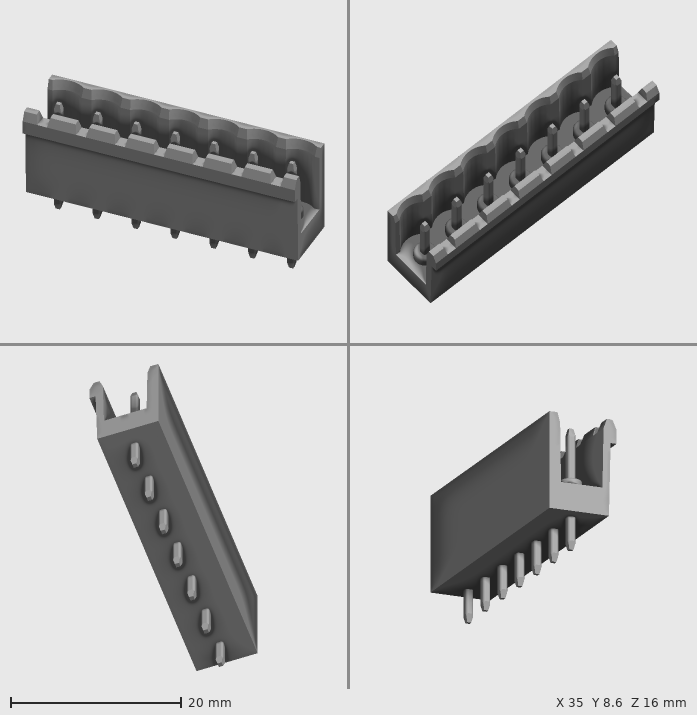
import cadquery as cq

contact_count = 7
length = 35.0
pitch = length / contact_count
contact_positions = [(i - (contact_count - 1) / 2) * pitch for i in range(contact_count)]

height = 11.97
floor_z = 3.4
shoulder_z = height - 1.22
rear_y = 3.78
rear_top_y = rear_y - 1.0
rear_shoulder_y = rear_y - 1.35
rear_floor_y = rear_y - 1.47

nose_y = rear_y - 8.6
nose_bottom_z = height - 2.95
nose_top_inner_y = nose_y + 1.25
nose_top_outer_y = nose_y + 0.75
nose_bevel_y = nose_y + 0.5
nose_bevel_drop = 0.1
front_inner_shoulder_y = nose_y + 1.68
front_inner_floor_y = nose_y + 1.82
front_outer_nose_y = nose_y + 0.77
front_outer_bottom_y = nose_y + 0.98

recess_axis_y = 0.28
recess_top_radius = 3.2
recess_shoulder_radius = recess_top_radius - (rear_top_y - rear_shoulder_y)
recess_floor_radius = recess_shoulder_radius - (rear_shoulder_y - rear_floor_y)

notch_top_width = 1.75
notch_bottom_width = 1.25

pin_width = 1.0
pin_corner_radius = 0.298
pin_tip_width = 0.52
pin_tip_length = 1.05
pin_top_z = height - 1.0
pin_bottom_z = -4.02
collar_radius = 1.35
collar_height = 1.2
collar_fillet = 0.35


def make_housing():
    """U-shaped trough with drafted walls and a nose along the top of the front wall."""
    outline = [
        (rear_y, 0),
        (rear_y, height),
        (rear_top_y, height),
        (rear_shoulder_y, shoulder_z),
        (rear_floor_y, floor_z),
        (front_inner_floor_y, floor_z),
        (front_inner_shoulder_y, shoulder_z),
        (nose_top_inner_y, height),
        (nose_top_outer_y, height),
        (nose_bevel_y, height - nose_bevel_drop),
        (nose_y, shoulder_z),
        (nose_y, nose_bottom_z),
        (front_outer_nose_y, nose_bottom_z),
        (front_outer_bottom_y, 0),
    ]
    return cq.Workplane("YZ").polyline(outline).close().extrude(length / 2, both=True)


def make_recess():
    """Tapered round cutter, turned about a vertical axis, for the rear wall."""
    profile = [
        (0, floor_z),
        (recess_floor_radius, floor_z),
        (recess_shoulder_radius, shoulder_z),
        (recess_top_radius, height),
        (0, height),
    ]
    cutter = cq.Workplane("XZ").polyline(profile).close().revolve(360, (0, 0), (0, 1))
    return cutter.translate((0, recess_axis_y, 0))


def make_notch():
    """Trapezoidal cutter running through the thickness of the front wall."""
    profile = [
        (-notch_bottom_width / 2, shoulder_z),
        (notch_bottom_width / 2, shoulder_z),
        (notch_top_width / 2, height),
        (-notch_top_width / 2, height),
    ]
    return cq.Workplane("XZ").polyline(profile).close().extrude(-nose_y)


def make_pin_tip(base_z, direction):
    """Square taper starting at base_z and pointing up (direction 1) or down (direction -1)."""
    return (
        cq.Workplane("XY", origin=(0, 0, base_z))
        .rect(pin_width, pin_width)
        .workplane(offset=direction * pin_tip_length)
        .rect(pin_tip_width, pin_tip_width)
        .loft(combine=True)
    )


def make_pin():
    """Square pin with tapered ends, its long corners rounded along the full length."""
    upper_base_z = pin_top_z - pin_tip_length
    lower_base_z = pin_bottom_z + pin_tip_length
    shank = (
        cq.Workplane("XY", origin=(0, 0, lower_base_z))
        .rect(pin_width, pin_width)
        .extrude(upper_base_z - lower_base_z)
    )
    tapered = shank.union(make_pin_tip(upper_base_z, 1)).union(make_pin_tip(lower_base_z, -1))
    envelope = (
        cq.Workplane("XY", origin=(0, 0, pin_bottom_z))
        .rect(pin_width, pin_width)
        .extrude(pin_top_z - pin_bottom_z)
        .edges("|Z")
        .fillet(pin_corner_radius)
    )
    return tapered.intersect(envelope)


def make_collar():
    """Short round boss with a rounded top edge, standing on the trough floor."""
    return (
        cq.Workplane("XY", origin=(0, 0, floor_z))
        .circle(collar_radius)
        .extrude(collar_height)
        .faces(">Z")
        .edges()
        .fillet(collar_fillet)
    )


result = make_housing()
wall_cutter = make_recess().union(make_notch())
contact = make_collar().union(make_pin())
for x in contact_positions:
    result = result.cut(wall_cutter.translate((x, 0, 0)))
for x in contact_positions:
    result = result.union(contact.translate((x, 0, 0)))